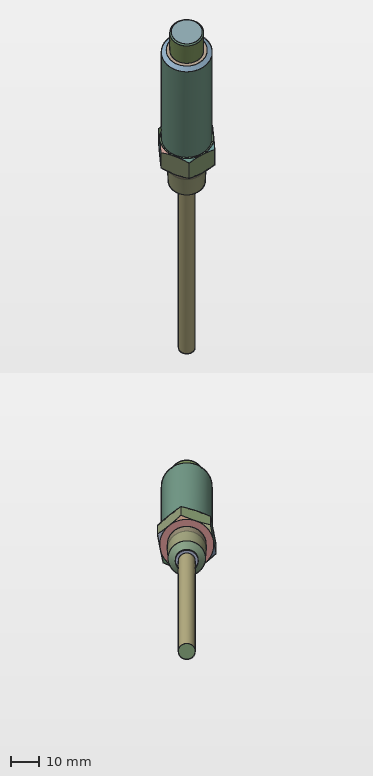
import cadquery as cq
import math

total_height = 175.7
body_top = 165.5
hex_top = 116.8
hex_bottom = 106.6
thread_top = 101.9
thread_bottom = 93.0
collar_bottom = 90.3
collar_height = 0.9

cap_diameter = 12.0
body_diameter = 18.0
neck_diameter = 13.7
collar_diameter = 8.0
stem_diameter = 6.0

across_flats = 19.0
hex_chamfer_angle = 30.0
cap_chamfer = 0.5
body_chamfer_height = 1.0
body_chamfer_width = 1.8
thread_taper = 1 / 16


def cylinder(diameter, bottom, top):
    """Upright cylinder on the Z axis between two heights."""
    return cq.Workplane("XY").workplane(offset=bottom).circle(diameter / 2).extrude(top - bottom)


def cone(bottom_diameter, top_diameter, bottom, top):
    """Upright truncated cone on the Z axis between two heights."""
    return (
        cq.Workplane("XY").workplane(offset=bottom).circle(bottom_diameter / 2)
        .workplane(offset=top - bottom).circle(top_diameter / 2)
        .loft(ruled=True)
    )


def hex_collar():
    """Wrench hexagon with corners on X and conically chamfered ends."""
    across_corners = across_flats / math.cos(math.radians(30))
    corner_drop = (across_corners - across_flats) / 2 * math.tan(math.radians(hex_chamfer_angle))
    prism = (
        cq.Workplane("XY").workplane(offset=hex_bottom)
        .polygon(6, across_corners).extrude(hex_top - hex_bottom)
    )
    lower_cone = cone(across_flats, across_corners, hex_bottom, hex_bottom + corner_drop)
    upper_cone = cone(across_corners, across_flats, hex_top - corner_drop, hex_top)
    middle = cylinder(across_corners, hex_bottom + corner_drop, hex_top - corner_drop)
    return prism.intersect(lower_cone.union(middle).union(upper_cone))


def tapered_thread():
    """Plain tapered thread blank, leading cone and small collar around the stem."""
    end_diameter = neck_diameter - thread_taper * (thread_top - thread_bottom)
    collar_top = collar_bottom + collar_height
    thread = cone(end_diameter, neck_diameter, thread_bottom, thread_top)
    lead_in = cone(collar_diameter, end_diameter, collar_top, thread_bottom)
    collar = cylinder(collar_diameter, collar_bottom, collar_top)
    return thread.union(lead_in).union(collar)


stem = cylinder(stem_diameter, 0, collar_bottom)
neck = cylinder(neck_diameter, thread_top, hex_bottom)
body_chamfer_start = body_top - body_chamfer_height
body_top_diameter = body_diameter - 2 * body_chamfer_width
shank = cylinder(body_diameter, hex_top, body_chamfer_start)
body = shank.union(cone(body_diameter, body_top_diameter, body_chamfer_start, body_top))
cap = cylinder(cap_diameter, body_top, total_height).faces(">Z").edges().chamfer(cap_chamfer)

result = stem.union(tapered_thread()).union(neck).union(hex_collar()).union(body).union(cap)